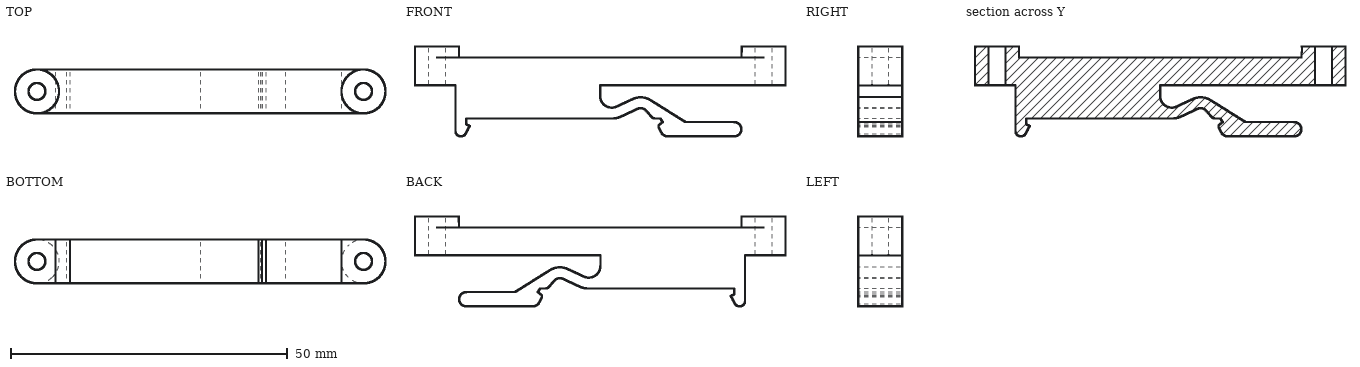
import cadquery as cq
import math

length = 67.0
width = 8.0
bar_height = 5.0
boss_height = 7.05
hole_diameter = 3.0
boss_spacing = length - width

body_left = -26.2
body_bottom = -6.0
clip_bottom = -9.25

hook_width = 2.0
hook_radius = 1.0
hook_notch_z = -7.05
hook_tip = (-23.6, -7.4)

arm_thickness = 2.0
root_radius = 2.1
root_center = (root_radius, body_bottom + arm_thickness + root_radius)
hump_inner_radius = 1.35
hump_outer_radius = hump_inner_radius + arm_thickness
hump_center = (7.3, -5.5)
toe_radius = 1.0
toe_center = (10.0, body_bottom + toe_radius)

lever_top = -6.6
lever_start = 15.4
lever_right = 25.5
lever_end_radius = (lever_top - clip_bottom) / 2
catch_top_x = 10.85
catch_notch = (11.25, lever_top)
catch_tip_top = (10.5, -7.25)
catch_tip_bottom = (10.5, -7.6)
catch_corner_start = (11.2, -8.85)
catch_corner_end = (11.85, clip_bottom)


def on_circle(center, radius, angle):
    """Point on a circle in the XZ plane at an angle in radians."""
    return (center[0] + radius * math.cos(angle), center[1] + radius * math.sin(angle))


def cross_tangent_normal(first, second, radius_sum, side):
    """Angle, at the first circle, of the contact point of a tangent crossing between two circles."""
    dx = second[0] - first[0]
    dz = second[1] - first[1]
    return math.atan2(dz, dx) + side * math.acos(radius_sum / math.hypot(dx, dz))


def clip_profile():
    """Closed XZ outline of the body, hook, spring arm and lever."""
    up = math.pi / 2
    down = -math.pi / 2
    arm_normal = cross_tangent_normal(root_center, hump_center, root_radius + hump_outer_radius, -1)
    hump_left = arm_normal + math.pi
    hump_right = cross_tangent_normal(hump_center, (lever_start, lever_top), hump_outer_radius, 1)
    toe_normal = cross_tangent_normal(hump_center, toe_center, hump_inner_radius + toe_radius, 1)
    toe_left = toe_normal - math.pi

    def arc(outline, center, radius, start, end):
        middle = on_circle(center, radius, (start + end) / 2)
        return outline.threePointArc(middle, on_circle(center, radius, end))

    outline = cq.Workplane("XZ").moveTo(0, 0).lineTo(0, root_center[1])
    outline = arc(outline, root_center, root_radius, -math.pi, arm_normal)
    outline = outline.lineTo(*on_circle(hump_center, hump_outer_radius, hump_left))
    outline = arc(outline, hump_center, hump_outer_radius, hump_left, hump_right)

    lever_center = (lever_right - lever_end_radius, lever_top - lever_end_radius)
    outline = outline.lineTo(lever_start, lever_top).lineTo(lever_center[0], lever_top)
    outline = arc(outline, lever_center, lever_end_radius, up, down)
    for point in (catch_corner_end, catch_corner_start, catch_tip_bottom, catch_tip_top, catch_notch):
        outline = outline.lineTo(*point)
    outline = outline.lineTo(catch_top_x, body_bottom).lineTo(toe_center[0], body_bottom)

    root_outer_radius = root_radius + arm_thickness
    outline = arc(outline, toe_center, toe_radius, down, toe_left)
    outline = outline.lineTo(*on_circle(hump_center, hump_inner_radius, toe_normal))
    outline = arc(outline, hump_center, hump_inner_radius, toe_normal, hump_left)
    outline = outline.lineTo(*on_circle(root_center, root_outer_radius, arm_normal))
    outline = arc(outline, root_center, root_outer_radius, arm_normal, down)

    hook_inner = body_left + hook_width
    hook_center = (body_left + hook_radius, clip_bottom + hook_radius)
    tip_distance = math.hypot(hook_tip[0] - hook_center[0], hook_tip[1] - hook_center[1])
    tip_angle = math.atan2(hook_tip[1] - hook_center[1], hook_tip[0] - hook_center[0])
    hook_contact = tip_angle - math.acos(hook_radius / tip_distance)
    outline = outline.lineTo(hook_inner, body_bottom).lineTo(hook_inner, hook_notch_z).lineTo(*hook_tip)
    outline = outline.lineTo(*on_circle(hook_center, hook_radius, hook_contact))
    outline = arc(outline, hook_center, hook_radius, hook_contact, -math.pi)
    return outline.lineTo(body_left, 0).close()


clip = clip_profile().extrude(width / 2, both=True)
bar = cq.Workplane("XY").box(boss_spacing, width, bar_height, centered=(True, True, False))
boss_centers = [(-boss_spacing / 2, 0), (boss_spacing / 2, 0)]
bosses = cq.Workplane("XY").pushPoints(boss_centers).circle(width / 2).extrude(boss_height)
holes = cq.Workplane("XY").pushPoints(boss_centers).circle(hole_diameter / 2).extrude(boss_height)

result = bar.union(clip).union(bosses).cut(holes)